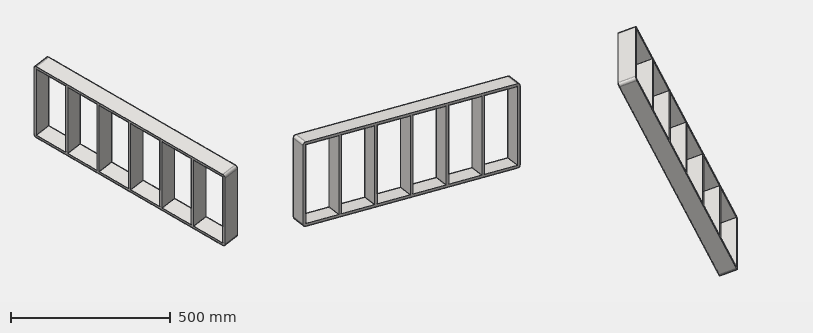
import cadquery as cq

length = 793.0
depth = 60.0
height = 298.0

wall = 10.0
corner_radius = 10.0
bay_count = 6

bay_width = (length - (bay_count + 1) * wall) / bay_count
bay_height = height - 2 * wall
bay_pitch = bay_width + wall


def frame_block():
    """Solid block with its four long edges along Y rounded."""
    return cq.Workplane("XY").box(length, depth, height).edges("|Y").fillet(corner_radius)


def bay_openings():
    """Row of equal rectangular prisms that pass through the full depth."""
    return (
        cq.Workplane("XZ")
        .rarray(bay_pitch, 1, bay_count, 1)
        .rect(bay_width, bay_height)
        .extrude(depth / 2, both=True)
    )


result = frame_block().cut(bay_openings())